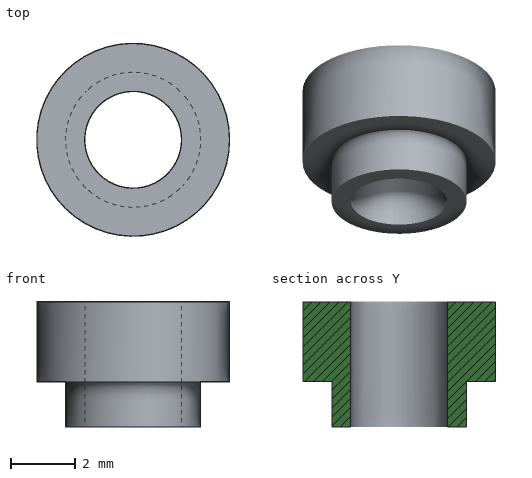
import cadquery as cq

collar_diameter = 6.0
collar_height = 2.5
spigot_diameter = 4.2
spigot_height = 1.4
bore_diameter = 3.0

total_height = spigot_height + collar_height


def cylinder(diameter, height, base_z=0.0):
    """Upright cylinder on the Z axis, standing on base_z."""
    return cq.Workplane("XY").workplane(offset=base_z).circle(diameter / 2).extrude(height)


spigot = cylinder(spigot_diameter, spigot_height)
collar = cylinder(collar_diameter, collar_height, base_z=spigot_height)

bore = cylinder(bore_diameter, total_height)

result = spigot.union(collar).cut(bore)